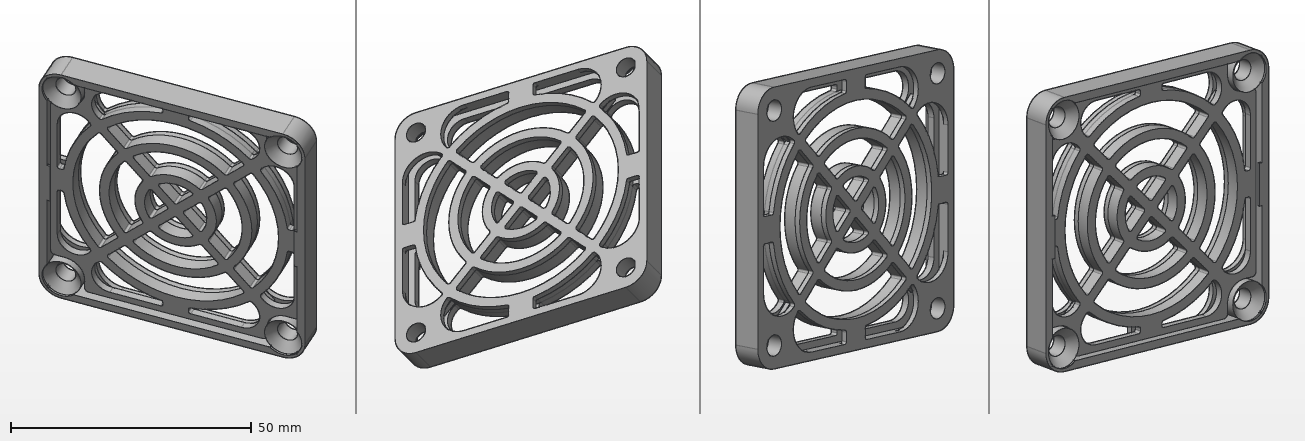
import cadquery as cq
import math

FRAME_SIZE = 60.0
FRAME_DEPTH = 6.3
FRAME_CORNER_RADIUS = 5.0
WALL = 1.8
FLOOR_THICKNESS = 1.3
FRONT_Y = -FRAME_DEPTH / 2
FLOOR_DEPTH = FRAME_DEPTH - FLOOR_THICKNESS
CAVITY_HALF = FRAME_SIZE / 2 - WALL

SCREW_OFFSET = FRAME_SIZE / 2 - FRAME_CORNER_RADIUS
BOSS_RADIUS = 4.3
BOSS_TOP_DEPTH = 0.5
SCREW_HOLE_RADIUS = 2.25
COUNTERSINK_DEPTH = BOSS_RADIUS - SCREW_HOLE_RADIUS

TAB_LENGTH = 9.4
TAB_PROJECTION = 0.65
TAB_DEPTH = 0.5

BAR_WIDTH = 2.2
RING_INNER_RADII = [7.0, 15.0, 23.2]
GUARD_RADIUS = RING_INNER_RADII[-1] + BAR_WIDTH
SLOT_FILLET = 0.5
SIDE_SLOT_START = 2.9

INSERT_DEPTH = 2.0
PLATE_THICKNESS = 1.7
PLATE_BACK = INSERT_DEPTH + PLATE_THICKNESS
SPOKE_REACH = 28.8
NOTCH_CLEARANCE = 0.15
NOTCH_RADIUS = BOSS_RADIUS + NOTCH_CLEARANCE
NOTCH_LIP_RADIUS = 1.0

INSERT_SLOT_EDGE = 26.7
INSERT_SLOT_END_RADIUS = 4.1
INSERT_SLOT_END_CENTRE = 14.85
FLOOR_SLOT_EDGE = CAVITY_HALF
FLOOR_SLOT_END_RADIUS = 5.6
FLOOR_SLOT_END_CENTRE = 13.5

QUARTER_TURNS = [0, 90, 180, 270]
SCREW_POINTS = [(x, z) for x in (-SCREW_OFFSET, SCREW_OFFSET) for z in (-SCREW_OFFSET, SCREW_OFFSET)]


def plane_at(depth):
    """XZ workplane at a depth behind the front face; positive extrusion runs toward the front."""
    return cq.Workplane("XZ", origin=(0, FRONT_Y + depth, 0))


def turned(shape, angle):
    return shape.rotate((0, 0, 0), (0, 1, 0), angle)


def block(half, front, back):
    return plane_at(back).rect(2 * half, 2 * half).extrude(back - front)


def disc(radius, front, back):
    return plane_at(back).circle(radius).extrude(back - front)


def spokes(length, front, back):
    """Two crossed diagonal bars through the centre, as one solid."""
    bar = plane_at(back).rect(2 * length, BAR_WIDTH).extrude(back - front)
    return turned(bar, 45).union(turned(bar, -45))


def ring_openings(front, back):
    """The openings between the rings, split into four by the spokes."""
    openings = disc(RING_INNER_RADII[0], front, back)
    for inner, outer in zip(RING_INNER_RADII, RING_INNER_RADII[1:]):
        openings = openings.union(disc(outer, front, back).cut(disc(inner + BAR_WIDTH, front, back)))
    openings = openings.cut(spokes(FRAME_SIZE / 2, front, back))
    return openings.edges("|Y").fillet(SLOT_FILLET)


def side_slot(edge, end_radius, end_x, front, back):
    """Slot from near the middle of the top side to a round end by the corner, outside the guard ring."""
    end_z = edge - end_radius
    centre_distance = math.hypot(end_x, end_z)
    swing = math.acos(
        (GUARD_RADIUS**2 + centre_distance**2 - end_radius**2) / (2 * GUARD_RADIUS * centre_distance)
    )
    tip_angle = math.atan2(end_x, end_z) + swing
    start_angle = math.asin(SIDE_SLOT_START / GUARD_RADIUS)

    def on_guard(angle):
        return (GUARD_RADIUS * math.sin(angle), GUARD_RADIUS * math.cos(angle))

    slot = (
        plane_at(back)
        .moveTo(*on_guard(start_angle))
        .lineTo(SIDE_SLOT_START, edge)
        .lineTo(end_x, edge)
        .threePointArc((end_x + end_radius, end_z), on_guard(tip_angle))
        .threePointArc(on_guard((start_angle + tip_angle) / 2), on_guard(start_angle))
        .close()
        .extrude(back - front)
    )
    start_edges = cq.selectors.BoxSelector(
        (0, -FRAME_SIZE, 0), (SIDE_SLOT_START + SLOT_FILLET, FRAME_SIZE, FRAME_SIZE)
    )
    tip_x, tip_z = on_guard(tip_angle)
    tip_edge = cq.selectors.BoxSelector(
        (tip_x - SLOT_FILLET, -FRAME_SIZE, tip_z - SLOT_FILLET),
        (tip_x + SLOT_FILLET, FRAME_SIZE, tip_z + SLOT_FILLET),
    )
    return slot.edges("|Y").edges(start_edges + tip_edge).fillet(SLOT_FILLET)


def cut_side_slots(body, slot):
    """Cut the slot and its mirror image on all four sides."""
    for angle in QUARTER_TURNS:
        for half in (slot, slot.mirror("YZ")):
            body = body.cut(turned(half, angle), clean=False)
    return body


def screw_hole(point):
    """Through hole with a countersink below a short straight recess in the frame corner."""
    recess = plane_at(BOSS_TOP_DEPTH).center(*point).circle(BOSS_RADIUS).extrude(BOSS_TOP_DEPTH)
    hole = plane_at(FRAME_DEPTH).center(*point).circle(SCREW_HOLE_RADIUS).extrude(FRAME_DEPTH)
    cone = cq.Solid.makeCone(
        BOSS_RADIUS,
        SCREW_HOLE_RADIUS,
        COUNTERSINK_DEPTH,
        pnt=cq.Vector(point[0], FRONT_Y + BOSS_TOP_DEPTH, point[1]),
        dir=cq.Vector(0, 1, 0),
    )
    return recess.union(hole).union(cq.Workplane(cone))


def make_frame():
    frame = block(FRAME_SIZE / 2, 0, FRAME_DEPTH).edges("|Y").fillet(FRAME_CORNER_RADIUS)
    boss_height = FLOOR_DEPTH - BOSS_TOP_DEPTH
    bosses = plane_at(FLOOR_DEPTH).pushPoints(SCREW_POINTS).circle(BOSS_RADIUS).extrude(boss_height)
    frame = frame.cut(block(CAVITY_HALF, 0, FLOOR_DEPTH).cut(bosses))

    tab_x = CAVITY_HALF - TAB_PROJECTION / 2
    tabs = (
        plane_at(TAB_DEPTH)
        .pushPoints([(-tab_x, 0), (tab_x, 0)])
        .rect(TAB_PROJECTION, TAB_LENGTH)
        .extrude(TAB_DEPTH)
    )
    frame = frame.union(tabs)

    frame = frame.cut(ring_openings(FLOOR_DEPTH, FRAME_DEPTH))
    slot = side_slot(
        FLOOR_SLOT_EDGE, FLOOR_SLOT_END_RADIUS, FLOOR_SLOT_END_CENTRE, FLOOR_DEPTH, FRAME_DEPTH
    )
    frame = cut_side_slots(frame, slot)
    for point in SCREW_POINTS:
        frame = frame.cut(screw_hole(point))
    return frame


def make_plate():
    """Square plate with a notch around each screw boss."""
    notch_reach = CAVITY_HALF - SCREW_OFFSET + NOTCH_RADIUS
    corners = [(sx * CAVITY_HALF, sz * CAVITY_HALF) for sx in (-1, 1) for sz in (-1, 1)]
    notches = (
        plane_at(PLATE_BACK)
        .pushPoints(corners)
        .rect(2 * notch_reach, 2 * notch_reach)
        .extrude(PLATE_THICKNESS)
        .edges("|Y")
        .fillet(NOTCH_RADIUS)
    )
    plate = block(CAVITY_HALF, INSERT_DEPTH, PLATE_BACK).cut(notches)
    lips = plate.faces("<X or >X or <Z or >Z").edges("|Y")
    return lips.fillet(NOTCH_LIP_RADIUS)


def make_insert():
    ribs = disc(GUARD_RADIUS, PLATE_BACK, FLOOR_DEPTH).union(spokes(SPOKE_REACH, PLATE_BACK, FLOOR_DEPTH))
    insert = make_plate().union(ribs)
    slot = side_slot(
        INSERT_SLOT_EDGE, INSERT_SLOT_END_RADIUS, INSERT_SLOT_END_CENTRE, INSERT_DEPTH, FLOOR_DEPTH
    )
    return cut_side_slots(insert, slot).cut(ring_openings(INSERT_DEPTH, FLOOR_DEPTH), clean=False)


frame = make_frame()
insert = make_insert()
result = cq.Compound.makeCompound([frame.val(), insert.val()])